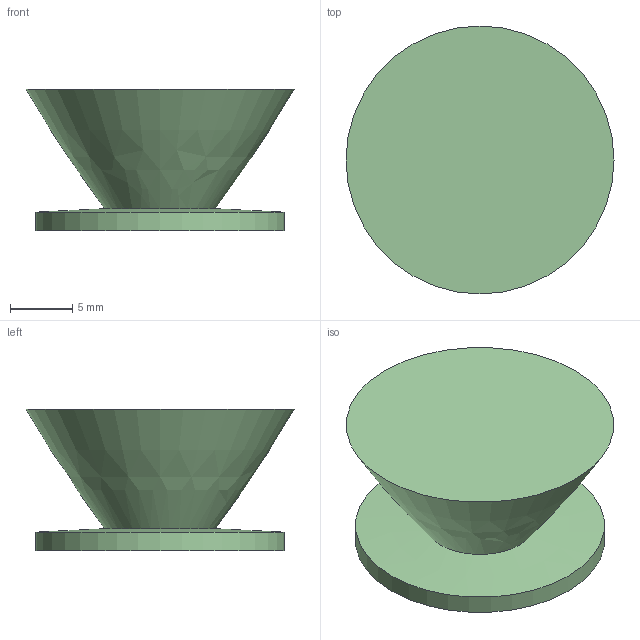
import cadquery as cq

base_radius = 10.03
base_edge_height = 1.5
base_top_slope = 0.05

total_height = 11.4
head_radius = 10.79
neck_radius = 4.46
flank_bulge = 0.17

neck_height = base_edge_height + base_top_slope * (base_radius - neck_radius)


def half_profile():
    """Half section in the YZ plane, lying on the -Y side of the axis."""
    return (
        cq.Workplane("YZ")
        .lineTo(-base_radius, 0)
        .lineTo(-base_radius, base_edge_height)
        .lineTo(-neck_radius, neck_height)
        .sagittaArc((-head_radius, total_height), flank_bulge)
        .lineTo(0, total_height)
        .close()
    )


result = half_profile().revolve(360, (0, 0, 0), (0, 1, 0))